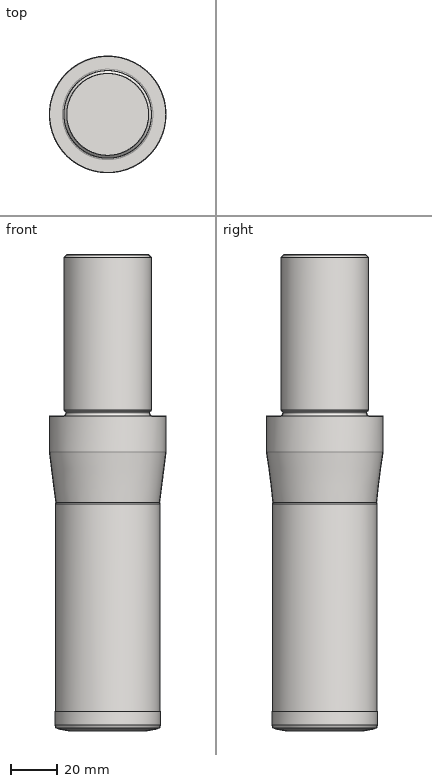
import cadquery as cq
import math

total_height = 207.0
flange_top = 136.8
flange_bottom = 121.3
taper_bottom = 99.4
cap_top = 8.5
cap_rim_top = 2.7
cap_rim_bottom = 1.5
cap_cone_height = 0.8

shank_radius = 19.0
neck_radius = 18.2
flange_radius = 25.35
taper_end_radius = 22.5
barrel_radius = 22.8
cap_radius = 23.0
cap_rim_radius = 22.5
cap_cone_radius = 21.0
cap_face_radius = 16.4

shank_chamfer = 1.2
neck_chamfer = shank_radius - neck_radius
neck_height = 0.5
neck_fillet = 1.5
barrel_chamfer = 0.6


def revolve_profile(profile):
    """Spin a closed radius-height profile on the XZ plane about the Z axis."""
    return profile.close().revolve(360, (0, 0, 0), (0, 1, 0))


def make_holder():
    """Shank, undercut neck, flange, taper and barrel turned as one body."""
    neck_bottom = flange_top + neck_fillet
    neck_foot_radius = neck_radius + neck_fillet
    fillet_reach = neck_fillet * (1 - math.sqrt(0.5))
    neck_top = neck_bottom + neck_height
    return revolve_profile(
        cq.Workplane("XZ")
        .moveTo(0, cap_top)
        .lineTo(barrel_radius, cap_top)
        .lineTo(barrel_radius, taper_bottom - barrel_chamfer)
        .lineTo(taper_end_radius, taper_bottom)
        .lineTo(flange_radius, flange_bottom)
        .lineTo(flange_radius, flange_top)
        .lineTo(neck_foot_radius, flange_top)
        .threePointArc(
            (neck_radius + fillet_reach, flange_top + fillet_reach),
            (neck_radius, neck_bottom),
        )
        .lineTo(neck_radius, neck_top)
        .lineTo(shank_radius, neck_top + neck_chamfer)
        .lineTo(shank_radius, total_height - shank_chamfer)
        .lineTo(shank_radius - shank_chamfer, total_height)
        .lineTo(0, total_height)
    )


def make_cap():
    """End cap with a lightly broken rim and a shallow conical underside."""
    return revolve_profile(
        cq.Workplane("XZ")
        .moveTo(0, 0)
        .lineTo(cap_face_radius, 0)
        .lineTo(cap_cone_radius, cap_cone_height)
        .lineTo(cap_rim_radius, cap_rim_bottom)
        .lineTo(cap_radius, cap_rim_top)
        .lineTo(cap_radius, cap_top)
        .lineTo(0, cap_top)
    )


holder = make_holder()
cap = make_cap()
result = cq.Compound.makeCompound([holder.val(), cap.val()])